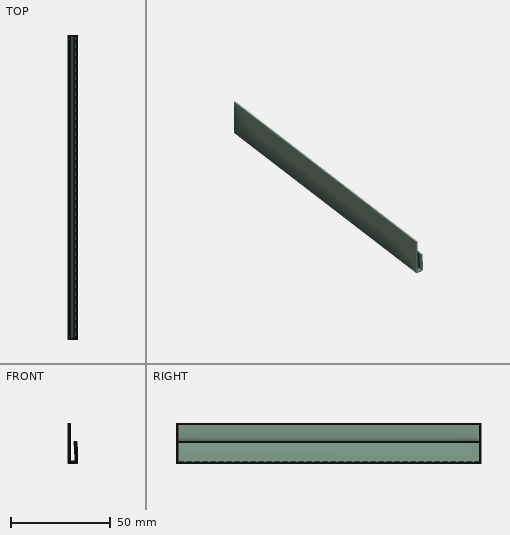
import math

import cadquery as cq

width = 4.45
length = 152.4
height = 19.81

wall = 0.9
bend_radius = wall
tip_radius = wall / 2

lip_height = 10.55
lip_curve_radius = 114.0
lip_curve_center_x = width - wall - lip_curve_radius
lip_curve_angle = math.asin((lip_height - tip_radius - wall) / lip_curve_radius)


def lip_point(radius, angle):
    """Point on the lip's curve, with the angle measured up from the floor's top face."""
    return (
        lip_curve_center_x + radius * math.cos(angle),
        wall + radius * math.sin(angle),
    )


def lip_tip_point():
    """Highest point of the rounded end, half a wall beyond the end of the lip's curve."""
    base_x, base_z = lip_point(lip_curve_radius + tip_radius, lip_curve_angle)
    return (
        base_x - tip_radius * math.sin(lip_curve_angle),
        base_z + tip_radius * math.cos(lip_curve_angle),
    )


def channel_profile():
    """J-shaped section in the XZ plane: tall leg, floor and curved lip."""
    inner_radius = lip_curve_radius
    outer_radius = lip_curve_radius + wall
    middle = lip_curve_angle / 2
    end = lip_curve_angle
    return (
        cq.Workplane("XZ")
        .moveTo(bend_radius, 0)
        .lineTo(width - bend_radius, 0)
        .radiusArc((width, bend_radius), -bend_radius)
        .threePointArc(lip_point(outer_radius, middle), lip_point(outer_radius, end))
        .threePointArc(lip_tip_point(), lip_point(inner_radius, end))
        .threePointArc(lip_point(inner_radius, middle), lip_point(inner_radius, 0))
        .lineTo(wall, wall)
        .lineTo(wall, height - tip_radius)
        .threePointArc((tip_radius, height), (0, height - tip_radius))
        .lineTo(0, bend_radius)
        .radiusArc((bend_radius, 0), -bend_radius)
        .close()
    )


result = channel_profile().extrude(length)